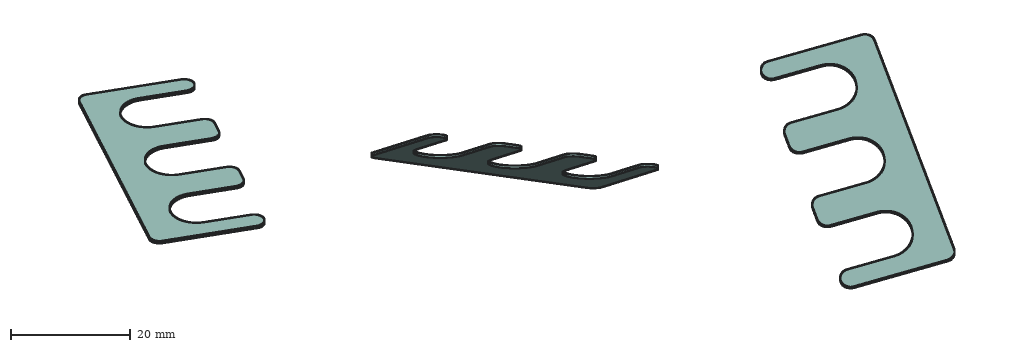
import cadquery as cq

length = 46.0
width = 20.0
thickness = 0.5

slot_count = 3
slot_pitch = 15.0
slot_width = 9.0
slot_radius = slot_width / 2
slot_floor = 5.5

end_prong_width = (length - (slot_count - 1) * slot_pitch - slot_width) / 2
full_round_clearance = 0.001
corner_radius = end_prong_width / 2 - full_round_clearance


def make_plate():
    """Rectangular plate centred in X and Y, resting on Z = 0."""
    return cq.Workplane("XY").box(length, width, thickness, centered=(True, True, False))


def make_slot(center_x):
    """Round-bottomed slot running out through the +Y edge."""
    top_y = width / 2
    arc_y = -width / 2 + slot_floor + slot_radius
    left_x = center_x - slot_radius
    right_x = center_x + slot_radius
    return (
        cq.Workplane("XY")
        .moveTo(left_x, top_y)
        .lineTo(left_x, arc_y)
        .threePointArc((center_x, arc_y - slot_radius), (right_x, arc_y))
        .lineTo(right_x, top_y)
        .close()
        .extrude(thickness)
    )


plate = make_plate()
for index in range(slot_count):
    slot_x = (index - (slot_count - 1) / 2) * slot_pitch
    plate = plate.cut(make_slot(slot_x))

plate = plate.edges("|Z and (>Y or <Y)").fillet(corner_radius)

result = plate